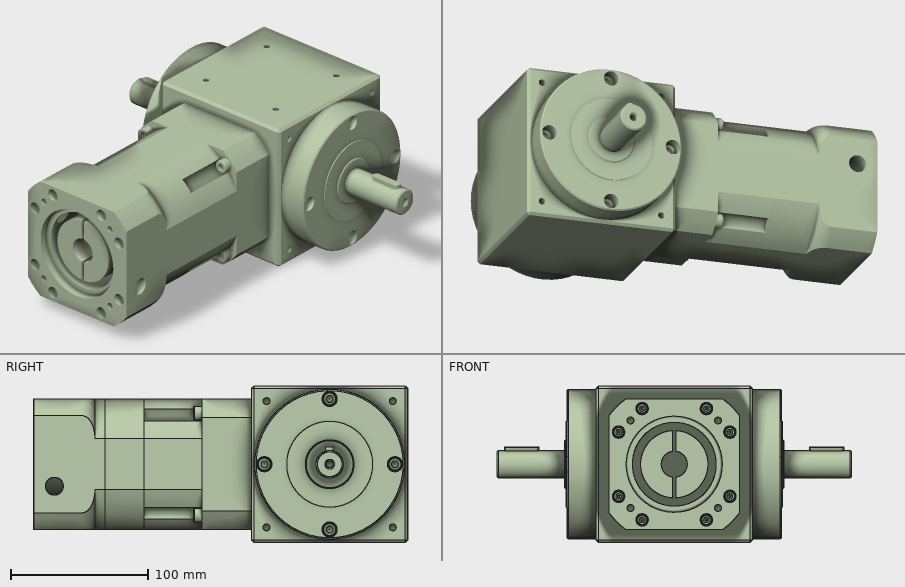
import cadquery as cq
import math


cube_size = 114.0
cube_half = cube_size / 2
cube_chamfer = 2.0
tapped_dia = 5.0
tapped_depth = 12.0
drill_point_angle = 118.0
top_hole_circle_dia = 95.0
side_hole_circle_dia = 130.0

disc_dia = 109.0
disc_chamfer = 1.0
disc_face_x = 78.0
cover_dia = 62.5
cover_height = 0.8
seal_dia = 35.5
seal_height = 1.7
seal_chamfer = 0.7
shaft_dia = 20.0
shaft_end_x = 129.0
shaft_chamfer = 1.0
center_hole_dia = 5.0
center_hole_depth = 16.0
center_sink_dia = 7.0
center_sink_depth = 1.5
key_length = 25.0
key_width = 6.0
key_height = 6.0
key_top_z = 12.5
key_end_gap = 5.5
disc_screw_circle_dia = 95.0
disc_seat_dia = 11.0
disc_seat_depth = 12.0
disc_head_height = 3.0

adapter_end_y = -93.0
ring_end_y = -135.0
spacer_end_y = -163.5
input_end_y = -215.5
neck_length = 7.0
square_width = 95.0
adapter_round_dia = 117.0
ring_round_dia = 102.0
input_round_dia = 118.5
shoulder_radius = 10.0

flange_screw_circle_dia = 105.0
flange_screw_height = 6.0
groove_circle_dia = 100.0
groove_dia = 12.0

m6_head_dia = 10.0
m6_socket_dia = 5.0
m5_head_dia = 8.0
m5_socket_dia = 4.0
socket_depth_ratio = 0.5
head_chamfer = 0.6

pilot_dia = 70.0
pilot_depth = 6.5
cavity_dia = 61.0
cavity_depth = 35.0
hub_dia = 49.0
hub_bore_dia = 19.0
hub_slot_width = 2.5
motor_screw_circle_dia = 93.5
motor_screw_angles = [30, 60]
motor_seat_dia = 9.0
motor_seat_depth = 8.0
motor_head_height = 1.5
motor_tapped_circle_dia = 90.0
access_dia = 13.0
access_z = 16.0
access_inset = 15.2

quarter_turns = [0, 90, 180, 270]
diagonals = [45, 135, 225, 315]


def on_circle(circle_dia, angles):
    """Points on a circle at the given angles in degrees."""
    radius = circle_dia / 2
    return [
        (radius * math.cos(math.radians(a)), radius * math.sin(math.radians(a)))
        for a in angles
    ]


def facing_minus_y(y):
    """Plane at the given Y whose normal points to -Y; its axes are X and Z."""
    return cq.Workplane("XZ", origin=(0, y, 0))


def facing_plus_x(x):
    """Plane at the given X whose normal points to +X; its axes are Y and Z."""
    return cq.Workplane("YZ", origin=(x, 0, 0))


def blind_holes(face, points, dia, depth):
    """Drilled holes with a conical point, entering against the face normal."""
    radius = dia / 2
    point_length = radius / math.tan(math.radians(drill_point_angle / 2))
    drill = (
        cq.Workplane("XZ")
        .lineTo(radius, 0)
        .lineTo(radius, -depth)
        .lineTo(0, -depth - point_length)
        .close()
        .revolve(360, (0, 0), (0, 1))
        .val()
    )
    return face.pushPoints(points).eachpoint(drill.moved, useLocalCoordinates=True)


def cap_screw_heads(face, points, dia, height, socket_dia):
    """Chamfered round heads with a drilled socket, standing on the face."""
    heads = face.pushPoints(points).circle(dia / 2).extrude(height)
    heads = heads.faces(cq.selectors.DirectionMinMaxSelector(face.plane.zDir, True)).chamfer(head_chamfer)
    sockets = blind_holes(face.workplane(offset=height), points, socket_dia, height * socket_depth_ratio)
    return heads.cut(sockets)


def rounded_square(start_y, end_y, round_dia):
    """Square prism along -Y whose corners are cut by a cylinder on the Y axis."""
    length = start_y - end_y
    square = facing_minus_y(start_y).rect(square_width, square_width).extrude(length)
    cylinder = facing_minus_y(start_y).circle(round_dia / 2).extrude(length)
    return square.intersect(cylinder)


def key():
    """Round-ended shaft key near the +X shaft end."""
    center_x = shaft_end_x - key_end_gap - key_length / 2
    return (
        cq.Workplane("XY", origin=(center_x, 0, key_top_z))
        .slot2D(key_length, key_width)
        .extrude(-key_height)
    )


def output_side():
    """Flange disc, bearing cover, shaft and key on the +X side."""
    disc = (
        facing_plus_x(cube_half)
        .circle(disc_dia / 2)
        .extrude(disc_face_x - cube_half)
        .faces(">X")
        .chamfer(disc_chamfer)
    )
    cover = facing_plus_x(disc_face_x).circle(cover_dia / 2).extrude(cover_height)
    seal = (
        facing_plus_x(disc_face_x)
        .circle(seal_dia / 2)
        .extrude(seal_height)
        .faces(">X")
        .chamfer(seal_chamfer)
    )
    shaft = (
        facing_plus_x(disc_face_x)
        .circle(shaft_dia / 2)
        .extrude(shaft_end_x - disc_face_x)
        .faces(">X")
        .chamfer(shaft_chamfer)
    )
    center_hole = blind_holes(facing_plus_x(shaft_end_x), [(0, 0)], center_hole_dia, center_hole_depth)
    center_sink = (
        facing_plus_x(shaft_end_x)
        .circle(center_sink_dia / 2)
        .workplane(offset=-center_sink_depth)
        .circle(center_hole_dia / 2)
        .loft()
    )
    screw_points = on_circle(disc_screw_circle_dia, quarter_turns)
    seat_floor = facing_plus_x(disc_face_x - disc_seat_depth)
    seats = seat_floor.pushPoints(screw_points).circle(disc_seat_dia / 2).extrude(disc_seat_depth)
    heads = cap_screw_heads(seat_floor, screw_points, m6_head_dia, disc_head_height, m6_socket_dia)
    side = disc.cut(seats).union(heads).union(cover).union(seal).union(shaft).union(key())
    return side.cut(center_hole).cut(center_sink)


def gearbox_housing():
    """Cube with both output sides, the adapter block and the flange screws."""
    cube = cq.Workplane("XY").box(cube_size, cube_size, cube_size).edges().chamfer(cube_chamfer)
    top_holes = blind_holes(
        cq.Workplane("XY", origin=(0, 0, cube_half)),
        on_circle(top_hole_circle_dia, diagonals),
        tapped_dia,
        tapped_depth,
    )
    side_holes = blind_holes(
        facing_plus_x(cube_half), on_circle(side_hole_circle_dia, diagonals), tapped_dia, tapped_depth
    )
    adapter = rounded_square(-cube_half, adapter_end_y, adapter_round_dia)
    screws = cap_screw_heads(
        facing_minus_y(adapter_end_y),
        on_circle(flange_screw_circle_dia, diagonals),
        m6_head_dia,
        flange_screw_height,
        m6_socket_dia,
    )
    output = output_side()
    housing = cube.cut(top_holes).cut(side_holes).cut(side_holes.mirror("YZ"))
    housing = housing.union(output).union(output.mirror("YZ"))
    return housing.union(adapter).union(screws)


def ring_gear():
    """Ring section with a lengthwise groove in front of each flange screw."""
    grooves = (
        facing_minus_y(adapter_end_y)
        .pushPoints(on_circle(groove_circle_dia, diagonals))
        .circle(groove_dia / 2)
        .extrude(adapter_end_y - ring_end_y)
    )
    return rounded_square(adapter_end_y, ring_end_y, ring_round_dia).cut(grooves)


def spacer():
    """Plain section between the ring gear and the input flange."""
    return rounded_square(ring_end_y, spacer_end_y, ring_round_dia)


def input_flange_blank():
    """Narrow neck that widens over a rounded shoulder to the motor flange."""
    shoulder_y = spacer_end_y - neck_length
    neck = rounded_square(spacer_end_y, shoulder_y - shoulder_radius, ring_round_dia)
    flange = rounded_square(shoulder_y, input_end_y, input_round_dia)
    rounding = (
        facing_minus_y(shoulder_y)
        .circle(input_round_dia / 2)
        .extrude(shoulder_y - input_end_y)
        .faces(">Y")
        .edges()
        .fillet(shoulder_radius)
    )
    return neck.union(flange.intersect(rounding))


def clamping_hub():
    """Bored hub, split by a slot, standing on the cavity floor."""
    hub_length = cavity_depth - pilot_depth
    hub_face = facing_minus_y(input_end_y + pilot_depth)
    hub = hub_face.circle(hub_dia / 2).circle(hub_bore_dia / 2).extrude(-hub_length)
    slot = hub_face.rect(hub_slot_width, hub_dia).extrude(-hub_length)
    return hub.cut(slot)


def clamp_access_holes():
    """One hole from each X side to the cavity, above the axis on -X and below it on +X."""
    holes = cq.Workplane("XY")
    for side in (-1, 1):
        hole = (
            cq.Workplane("YZ", origin=(0, input_end_y + access_inset, -side * access_z))
            .circle(access_dia / 2)
            .extrude(side * square_width / 2)
        )
        holes = holes.add(hole)
    return holes.combine()


def input_flange():
    """Motor flange with its pilot bore, clamping hub, screws and access holes."""
    motor_face = facing_minus_y(input_end_y)
    pilot = motor_face.circle(pilot_dia / 2).extrude(-pilot_depth)
    cavity = motor_face.circle(cavity_dia / 2).extrude(-cavity_depth)
    screw_angles = [turn + angle for turn in quarter_turns for angle in motor_screw_angles]
    screw_points = on_circle(motor_screw_circle_dia, screw_angles)
    seat_floor = facing_minus_y(input_end_y + motor_seat_depth)
    seats = seat_floor.pushPoints(screw_points).circle(motor_seat_dia / 2).extrude(motor_seat_depth)
    heads = cap_screw_heads(seat_floor, screw_points, m5_head_dia, motor_head_height, m5_socket_dia)
    tapped_holes = blind_holes(
        motor_face, on_circle(motor_tapped_circle_dia, diagonals), tapped_dia, tapped_depth
    )
    flange = input_flange_blank().cut(pilot).cut(cavity).cut(clamp_access_holes())
    flange = flange.cut(seats).cut(tapped_holes)
    return flange.union(heads).union(clamping_hub())


bodies = [gearbox_housing(), ring_gear(), spacer(), input_flange()]
result = cq.Compound.makeCompound([body.val() for body in bodies])